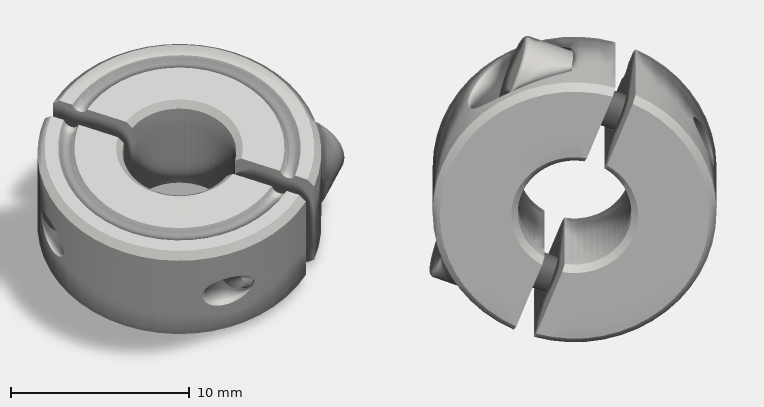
import cadquery as cq


outer_radius = 7.94
height = 7.15
outer_chamfer = 0.4
bore_radius = 3.18
bore_chamfer = 0.37
split_gap = 1.2

groove_inner_radius = 5.88
groove_outer_radius = 6.78
groove_wall_run = 0.1
groove_wall_depth = 0.19
groove_depth = 0.4

screw_offset = 5.32
shank_diameter = 2.08
front_hole_diameter = 2.25
back_hole_diameter = 3.05
head_diameter = 4.65
counterbore_diameter = 5.16
seat_y = 3.02
head_length = 2.81
head_edge_fillet = 0.24
tip_y = -4.97
tip_flat_diameter = 1.35

top_z = height / 2
split_y = split_gap / 2
tip_chamfer = (shank_diameter - tip_flat_diameter) / 2
screw_positions = (-screw_offset, screw_offset)


def cylinder_along_y(x, diameter, start_y, end_y):
    """Cylinder parallel to Y, at mid height of the collar."""
    return (
        cq.Workplane("XZ", origin=(x, end_y, 0))
        .circle(diameter / 2)
        .extrude(end_y - start_y)
    )


def make_groove():
    """Ring-shaped cutter with sloped walls and a rounded floor."""
    floor_inner = groove_inner_radius + groove_wall_run
    floor_outer = groove_outer_radius - groove_wall_run
    floor_edge_z = top_z - groove_wall_depth
    return (
        cq.Workplane("XZ")
        .moveTo(groove_inner_radius, top_z)
        .lineTo(floor_inner, floor_edge_z)
        .threePointArc(
            ((floor_inner + floor_outer) / 2, top_z - groove_depth),
            (floor_outer, floor_edge_z),
        )
        .lineTo(groove_outer_radius, top_z)
        .close()
        .revolve(360, (0, 0, 0), (0, 1, 0))
    )


def make_ring():
    """Complete chamfered and grooved ring, before it is split."""
    disc = (
        cq.Workplane("XY", origin=(0, 0, -top_z))
        .circle(outer_radius)
        .extrude(height)
        .edges()
        .chamfer(outer_chamfer)
    )
    bored = disc.faces(">Z").workplane().circle(bore_radius).cutThruAll()
    bore_edges = cq.selectors.RadiusNthSelector(0)
    return bored.faces("<Z or >Z").edges(bore_edges).chamfer(bore_chamfer).cut(make_groove())


def make_half(side):
    """Half ring on the +Y side (side = 1) or the -Y side (side = -1)."""
    half_space = cq.Workplane("XY").box(2 * outer_radius, outer_radius, height)
    return make_ring().intersect(
        half_space.translate((0, side * (split_y + outer_radius / 2), 0))
    )


def make_screw(x):
    """Cap screw with a rounded head edge and a conical tip."""
    shank = cylinder_along_y(x, shank_diameter, tip_y, seat_y).faces("<Y").chamfer(tip_chamfer)
    head = cylinder_along_y(x, head_diameter, seat_y, seat_y + head_length)
    return shank.union(head.faces(">Y").edges().fillet(head_edge_fillet))


def make_front_half():
    """Front half with a through hole around each screw shank."""
    half = make_half(-1)
    for x in screw_positions:
        half = half.cut(cylinder_along_y(x, front_hole_diameter, -outer_radius, 0))
    return half


def make_back_half():
    """Back half with counterbored holes, joined to both screws at the head seats."""
    half = make_half(1)
    for x in screw_positions:
        half = half.cut(cylinder_along_y(x, back_hole_diameter, 0, seat_y))
        half = half.cut(cylinder_along_y(x, counterbore_diameter, seat_y, outer_radius))
        half = half.union(make_screw(x))
    return half


front_half = make_front_half()
back_half = make_back_half()

result = cq.Compound.makeCompound([front_half.solids().val(), back_half.solids().val()])